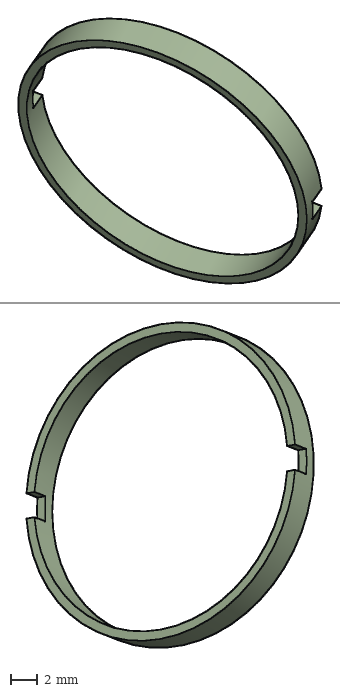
import cadquery as cq

outer_diameter = 25.0
wall_thickness = 0.75
ring_width = 2.5
inner_diameter = outer_diameter - 2 * wall_thickness

notch_height = 2.0
notch_depth = 1.5


def make_ring():
    """Plain ring centred on the origin."""
    return (
        cq.Workplane("XZ")
        .circle(outer_diameter / 2)
        .circle(inner_diameter / 2)
        .extrude(ring_width / 2, both=True)
    )


def make_notch_bar():
    """Bar along X that cuts both notches in one pass."""
    bar_center_y = (ring_width - notch_depth) / 2
    return (
        cq.Workplane("XY")
        .box(outer_diameter, notch_depth, notch_height)
        .translate((0, bar_center_y, 0))
    )


result = make_ring().cut(make_notch_bar())